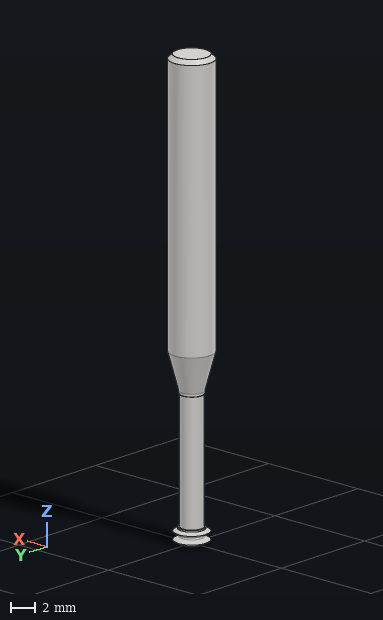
import cadquery as cq
import math

total_length = 42.0
shank_diameter = 4.0
shank_bottom_z = 16.5
shank_chamfer = 0.4

neck_diameter = 2.07
land_diameter = 2.17
taper_bottom_z = 13.1
land_bottom_z = 12.85

tooth_diameter = 3.17
collar_diameter = 2.36
collar_top_z = 1.43
tooth_count = 2
tooth_pitch = 0.75
flank_angle = math.radians(30)
tooth_root_diameter = neck_diameter
bottom_diameter = neck_diameter


def flank_height(diameter):
    """Height along a tooth flank between the tooth tip and the given diameter."""
    return (tooth_diameter - diameter) / 2 * math.tan(flank_angle)


def add_rounded_root(profile, middle_z):
    """Follow a flank in to a groove root and round it with an arc tangent to both flanks."""
    root_radius = tooth_root_diameter / 2
    sharp_root_radius = tooth_diameter / 2 - tooth_pitch / 2 / math.tan(flank_angle)
    arc_radius = (root_radius - sharp_root_radius) / (1 / math.sin(flank_angle) - 1)
    tangent_radius = root_radius + arc_radius * (1 - math.sin(flank_angle))
    tangent_offset = arc_radius * math.cos(flank_angle)
    return profile.lineTo(tangent_radius, middle_z - tangent_offset).threePointArc(
        (root_radius, middle_z), (tangent_radius, middle_z + tangent_offset)
    )


def add_head(profile):
    """Draw the cutting head from the bottom face up to the neck."""
    first_tip_z = flank_height(bottom_diameter)
    last_tip_z = first_tip_z + (tooth_count - 1) * tooth_pitch
    profile = profile.lineTo(bottom_diameter / 2, 0).lineTo(tooth_diameter / 2, first_tip_z)
    for index in range(1, tooth_count):
        tip_z = first_tip_z + index * tooth_pitch
        profile = add_rounded_root(profile, tip_z - tooth_pitch / 2)
        profile = profile.lineTo(tooth_diameter / 2, tip_z)
    profile = profile.lineTo(collar_diameter / 2, last_tip_z + flank_height(collar_diameter))
    profile = profile.lineTo(collar_diameter / 2, collar_top_z)
    return profile.lineTo(neck_diameter / 2, collar_top_z)


def add_shaft(profile):
    """Draw the neck, land, taper and shank up to the top face."""
    shank_radius = shank_diameter / 2
    profile = profile.lineTo(neck_diameter / 2, land_bottom_z)
    profile = profile.lineTo(land_diameter / 2, land_bottom_z)
    profile = profile.lineTo(land_diameter / 2, taper_bottom_z)
    profile = profile.lineTo(shank_radius, shank_bottom_z)
    profile = profile.lineTo(shank_radius, total_length - shank_chamfer)
    return profile.lineTo(shank_radius - shank_chamfer, total_length)


half_outline = cq.Workplane("XZ").moveTo(0, 0)
half_outline = add_head(half_outline)
half_outline = add_shaft(half_outline)
half_outline = half_outline.lineTo(0, total_length).close()
result = half_outline.revolve(360, (0, 0, 0), (0, 1, 0))